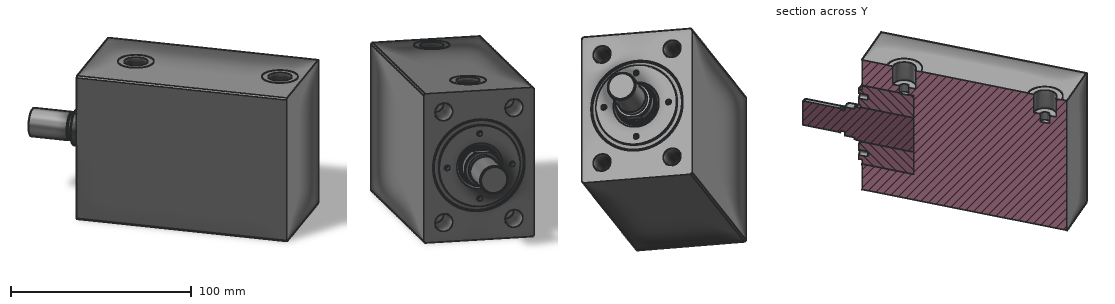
import cadquery as cq
import math

TOTAL_LENGTH = 156.0

BLOCK_WIDTH = 63.0
BLOCK_HEIGHT = 85.0
BLOCK_FRONT = 35.0
BLOCK_EDGE_CHAMFER = 1.0

BOLT_DIAMETER = 10.0
BOLT_DEPTH = 20.0
BOLT_SPACING_Y = 40.0
BOLT_SPACING_Z = 63.0
DRILL_POINT_ANGLE = 118.0

PORT_POSITIONS = (59.9, 142.9)
SPOTFACE_DIAMETER = 20.0
SPOTFACE_DEPTH = 0.2
PORT_DIAMETER = 13.1
PORT_DEPTH = 12.0
PASSAGE_DIAMETER = 5.3

GLAND_DIAMETER = 51.0
GLAND_END = 65.5
GLAND_SEAT_CHAMFER = 0.8
BOSS_DIAMETER = 46.0
BOSS_FRONT = 33.0
MOUTH_DIAMETER = 26.0
THROAT_DIAMETER = 23.1
MOUTH_DEPTH = 1.5
PIN_HOLE_DIAMETER = 3.0
PIN_HOLE_DEPTH = 5.0
PIN_CIRCLE_DIAMETER = 37.0
PIN_HOLE_COUNT = 4

ROD_DIAMETER = 22.0
TIP_DIAMETER = 14.7
TIP_LENGTH = 0.5
THREAD_DIAMETER = 16.0
THREAD_END = 22.2
UNDERCUT_DIAMETER = 13.9
UNDERCUT_RUNOUT = 0.6
UNDERCUT_END = 24.5
COLLAR_ROOT_DIAMETER = 16.7
COLLAR_FRONT = 25.0
COLLAR_FACE_DIAMETER = 20.0
COLLAR_CHAMFER_LENGTH = 0.6
COLLAR_DIAMETER = 21.0
COLLAR_END = 31.2
COLLAR_STEP_LENGTH = 0.5
FLAT_END = 30.5
FLAT_WIDTH = 19.0


def x_cylinder(diameter, start, end):
    """Cylinder on the X axis between two x positions."""
    return cq.Workplane("YZ", origin=(start, 0, 0)).circle(diameter / 2).extrude(end - start)


def x_cone(start_diameter, end_diameter, start, end):
    """Truncated cone on the X axis between two x positions."""
    profile = [(start, 0), (start, start_diameter / 2), (end, end_diameter / 2), (end, 0)]
    return cq.Workplane("XY").polyline(profile).close().revolve(360, (0, 0, 0), (1, 0, 0))


def drilled_hole(diameter, depth, entry_x):
    """Blind hole along +X that ends in a drill-point cone."""
    radius = diameter / 2
    tip_length = radius / math.tan(math.radians(DRILL_POINT_ANGLE / 2))
    bottom = entry_x + depth
    profile = [(entry_x, 0), (entry_x, radius), (bottom, radius), (bottom + tip_length, 0)]
    return cq.Workplane("XY").polyline(profile).close().revolve(360, (0, 0, 0), (1, 0, 0))


def vertical_bore(diameter, x, top, bottom):
    """Cylinder along Z at the given x position."""
    return cq.Workplane("XY", origin=(x, 0, bottom)).circle(diameter / 2).extrude(top - bottom)


def make_housing():
    block = (
        cq.Workplane("XY")
        .box(TOTAL_LENGTH - BLOCK_FRONT, BLOCK_WIDTH, BLOCK_HEIGHT, centered=(False, True, True))
        .edges("|X")
        .chamfer(BLOCK_EDGE_CHAMFER)
        .translate((BLOCK_FRONT, 0, 0))
    )

    block = block.cut(x_cylinder(GLAND_DIAMETER, BLOCK_FRONT, GLAND_END))
    mouth_diameter = GLAND_DIAMETER + 2 * GLAND_SEAT_CHAMFER
    mouth_end = BLOCK_FRONT + GLAND_SEAT_CHAMFER
    block = block.cut(x_cone(mouth_diameter, GLAND_DIAMETER, BLOCK_FRONT, mouth_end))

    bolt_hole = drilled_hole(BOLT_DIAMETER, BOLT_DEPTH, BLOCK_FRONT)
    for y_side in (-1, 1):
        for z_side in (-1, 1):
            position = (0, y_side * BOLT_SPACING_Y / 2, z_side * BOLT_SPACING_Z / 2)
            block = block.cut(bolt_hole.translate(position))

    top = BLOCK_HEIGHT / 2
    passage_bottom = math.sqrt(GLAND_DIAMETER**2 - PASSAGE_DIAMETER**2) / 2
    for x in PORT_POSITIONS:
        block = block.cut(vertical_bore(SPOTFACE_DIAMETER, x, top, top - SPOTFACE_DEPTH))
        block = block.cut(vertical_bore(PORT_DIAMETER, x, top, top - PORT_DEPTH))
        block = block.cut(vertical_bore(PASSAGE_DIAMETER, x, top, passage_bottom))
    return block


def make_gland():
    gland = x_cylinder(GLAND_DIAMETER, BLOCK_FRONT, GLAND_END)
    gland = gland.union(x_cylinder(BOSS_DIAMETER, BOSS_FRONT, BLOCK_FRONT))
    gland = gland.cut(x_cylinder(ROD_DIAMETER, BOSS_FRONT, GLAND_END))

    mouth_end = BOSS_FRONT + MOUTH_DEPTH
    gland = gland.cut(x_cone(MOUTH_DIAMETER, THROAT_DIAMETER, BOSS_FRONT, mouth_end))

    pin_hole = drilled_hole(PIN_HOLE_DIAMETER, PIN_HOLE_DEPTH, BOSS_FRONT)
    pin_hole = pin_hole.translate((0, 0, PIN_CIRCLE_DIAMETER / 2))
    for i in range(PIN_HOLE_COUNT):
        angle = i * 360 / PIN_HOLE_COUNT
        gland = gland.cut(pin_hole.rotate((0, 0, 0), (1, 0, 0), angle))
    return gland


def make_rod():
    tip_radius = TIP_DIAMETER / 2
    thread_radius = THREAD_DIAMETER / 2
    undercut_radius = UNDERCUT_DIAMETER / 2
    collar_root_radius = COLLAR_ROOT_DIAMETER / 2
    collar_face_radius = COLLAR_FACE_DIAMETER / 2
    collar_radius = COLLAR_DIAMETER / 2
    rod_radius = ROD_DIAMETER / 2
    profile = [
        (0, 0),
        (0, tip_radius),
        (TIP_LENGTH, thread_radius),
        (THREAD_END, thread_radius),
        (THREAD_END + UNDERCUT_RUNOUT, undercut_radius),
        (UNDERCUT_END, undercut_radius),
        (COLLAR_FRONT, collar_root_radius),
        (COLLAR_FRONT, collar_face_radius),
        (COLLAR_FRONT + COLLAR_CHAMFER_LENGTH, collar_radius),
        (COLLAR_END, collar_radius),
        (COLLAR_END + COLLAR_STEP_LENGTH, rod_radius),
        (GLAND_END, rod_radius),
        (GLAND_END, 0),
    ]
    rod = cq.Workplane("XY").polyline(profile).close().revolve(360, (0, 0, 0), (1, 0, 0))

    flat_length = FLAT_END - COLLAR_FRONT
    for side in (-1, 1):
        cutter = (
            cq.Workplane("XY")
            .box(flat_length, ROD_DIAMETER, ROD_DIAMETER, centered=(False, True, True))
            .translate((COLLAR_FRONT, 0, side * (FLAT_WIDTH + ROD_DIAMETER) / 2))
        )
        rod = rod.cut(cutter)
    return rod


housing = make_housing()
gland = make_gland()
rod = make_rod()

result = cq.Compound.makeCompound([housing.val(), gland.val(), rod.val()])